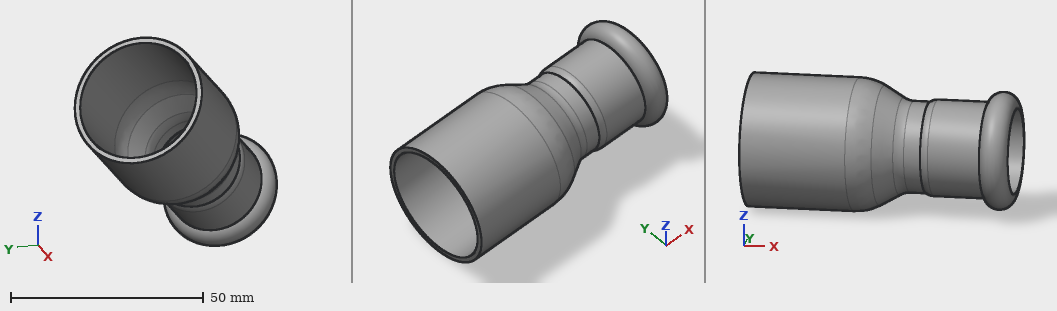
import cadquery as cq
import math

length = 70.0
wide_radius = 35.0 / 2
wide_bore_radius = 32.0 / 2
wall = wide_radius - wide_bore_radius

neck_radius = 24.0 / 2
reducer_start = 28.0
cone_angle = math.radians(30)
convex_bend_radius = 13.3
concave_bend_radius = 5.45

shoulder_start = 46.9
shoulder_end = 49.0
socket_radius = 25.3 / 2
socket_bore_radius = 22.3 / 2

bead_section_radius = 3.745
bead_outer_radius = 15.4
bead_ring_radius = bead_outer_radius - bead_section_radius
bead_center = length - bead_section_radius

bend_drop = (convex_bend_radius + concave_bend_radius) * (1 - math.cos(cone_angle))
cone_length = (wide_radius - neck_radius - bend_drop) / math.tan(cone_angle)
bend_length = (convex_bend_radius + concave_bend_radius) * math.sin(cone_angle)
reducer_end = reducer_start + bend_length + cone_length


def bend_point(center_x, center_radius, bend_radius, angle):
    """Point on a bend, with the angle measured from the outward radial direction."""
    return (center_x + bend_radius * math.sin(angle), center_radius + bend_radius * math.cos(angle))


def tube_body(inset, socket_end_radius):
    """Solid of revolution about X, set in from the outer wall by the given distance."""
    convex_center = wide_radius - convex_bend_radius
    concave_center = neck_radius + concave_bend_radius
    convex_radius = convex_bend_radius - inset
    concave_radius = concave_bend_radius + inset
    shoulder_rise = socket_end_radius - (neck_radius - inset)
    shoulder_run = shoulder_end - shoulder_start
    shoulder_bend = (shoulder_run**2 + shoulder_rise**2) / (2 * shoulder_rise)
    shoulder_center = socket_end_radius - shoulder_bend
    shoulder_mid_angle = -math.asin(shoulder_run / shoulder_bend) / 2

    profile = (
        cq.Workplane("XY")
        .lineTo(0, wide_radius - inset)
        .lineTo(reducer_start, wide_radius - inset)
        .threePointArc(
            bend_point(reducer_start, convex_center, convex_radius, cone_angle / 2),
            bend_point(reducer_start, convex_center, convex_radius, cone_angle),
        )
        .lineTo(*bend_point(reducer_end, concave_center, concave_radius, math.pi + cone_angle))
        .threePointArc(
            bend_point(reducer_end, concave_center, concave_radius, math.pi + cone_angle / 2),
            (reducer_end, neck_radius - inset),
        )
        .lineTo(shoulder_start, neck_radius - inset)
        .threePointArc(
            bend_point(shoulder_end, shoulder_center, shoulder_bend, shoulder_mid_angle),
            (shoulder_end, socket_end_radius),
        )
        .lineTo(length, socket_end_radius)
        .lineTo(length, 0)
        .close()
    )
    return profile.revolve(360, (0, 0, 0), (1, 0, 0))


def end_bead():
    """Half-round bead revolved about X, filled down to the axis."""
    profile = (
        cq.Workplane("XY")
        .moveTo(bead_center - bead_section_radius, 0)
        .lineTo(bead_center - bead_section_radius, bead_ring_radius)
        .threePointArc((bead_center, bead_outer_radius), (length, bead_ring_radius))
        .lineTo(length, 0)
        .close()
    )
    return profile.revolve(360, (0, 0, 0), (1, 0, 0))


past_bead = cq.Workplane("YZ").workplane(offset=bead_center).circle(wide_radius).extrude(length - bead_center)
outer_body = tube_body(0, socket_radius).cut(past_bead).union(end_bead())
bore = tube_body(wall, socket_bore_radius)
result = outer_body.cut(bore)